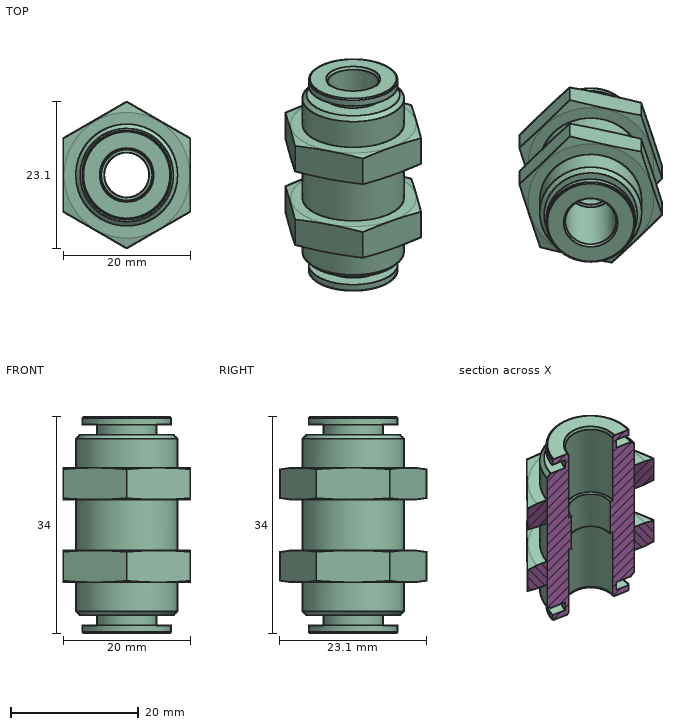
import cadquery as cq


total_length = 34.0
flange_diameter = 14.0
flange_thickness = 1.22
flange_chamfer = 0.2
neck_diameter = 9.4
neck_length = 1.55
barrel_diameter = 16.0
barrel_chamfer = 0.68

through_diameter = 7.0
socket_diameter = 8.0
socket_depth = 13.6
mouth_diameter = 8.5
mouth_depth = 0.45

nut_across_flats = 20.0
nut_thickness = 5.0
nut_spacing = 13.0
nut_face_diameter = 19.75
nut_corner_drop = 0.25

half_length = total_length / 2
barrel_length = total_length - 2 * (flange_thickness + neck_length)
nut_across_corners = nut_across_flats / (3 ** 0.5 / 2)


def cylinder(diameter, length):
    """Cylinder on the Z axis, centred on the origin."""
    return cq.Workplane("XY").circle(diameter / 2).extrude(length / 2, both=True)


def end_flange(end):
    """Release flange at the top (end = 1) or bottom (end = -1)."""
    inner_z = end * (half_length - flange_thickness)
    flange = cq.Workplane("XY", origin=(0, 0, inner_z)).circle(flange_diameter / 2)
    outer_face = ">Z" if end > 0 else "<Z"
    return flange.extrude(end * flange_thickness).faces(outer_face).chamfer(flange_chamfer)


def bore_cutter():
    """Through hole with a tube socket and a bevelled mouth at each end."""
    through_radius = through_diameter / 2
    socket_radius = socket_diameter / 2
    mouth_radius = mouth_diameter / 2
    mouth_z = half_length - mouth_depth
    socket_z = half_length - socket_depth
    profile = [
        (0, -half_length),
        (mouth_radius, -half_length),
        (socket_radius, -mouth_z),
        (socket_radius, -socket_z),
        (through_radius, -socket_z),
        (through_radius, socket_z),
        (socket_radius, socket_z),
        (socket_radius, mouth_z),
        (mouth_radius, half_length),
        (0, half_length),
    ]
    return cq.Workplane("XZ").polyline(profile).close().revolve(360, (0, 0, 0), (0, 1, 0))


def make_body():
    """Barrel, necks and end flanges with the stepped bore through them."""
    barrel = cylinder(barrel_diameter, barrel_length).faces("<Z or >Z").chamfer(barrel_chamfer)
    neck = cylinder(neck_diameter, barrel_length + 2 * neck_length)
    body = barrel.union(neck)
    for end in (-1, 1):
        body = body.union(end_flange(end))
    return body.cut(bore_cutter())


def make_nut(middle_z):
    """Hex nut with corners on the Y axis, coned on both faces, fitting the barrel."""
    half_thickness = nut_thickness / 2
    corner_radius = nut_across_corners / 2
    corner_z = half_thickness - nut_corner_drop
    hexagon = (
        cq.Workplane("XY")
        .transformed(rotate=(0, 0, 90))
        .polygon(6, nut_across_corners)
        .extrude(half_thickness, both=True)
    )
    coned_profile = [
        (barrel_diameter / 2, -half_thickness),
        (nut_face_diameter / 2, -half_thickness),
        (corner_radius, -corner_z),
        (corner_radius, corner_z),
        (nut_face_diameter / 2, half_thickness),
        (barrel_diameter / 2, half_thickness),
    ]
    coned_ring = cq.Workplane("XZ").polyline(coned_profile).close().revolve(360, (0, 0, 0), (0, 1, 0))
    return hexagon.intersect(coned_ring).translate((0, 0, middle_z))


body = make_body()
nuts = [make_nut(side * nut_spacing / 2) for side in (-1, 1)]

result = cq.Compound.makeCompound([body.val(), *[nut.val() for nut in nuts]])